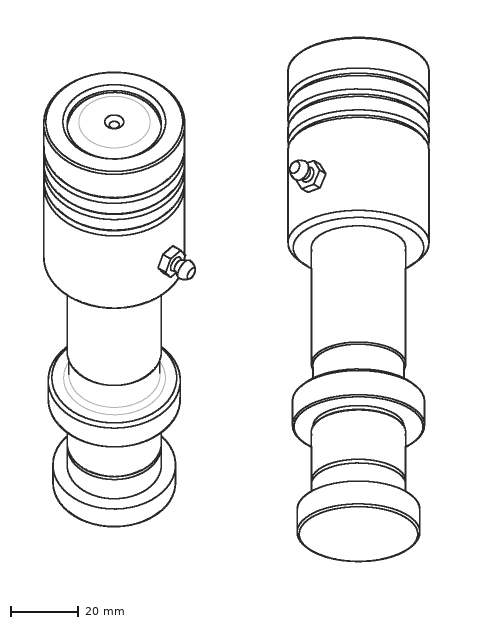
import cadquery as cq
import math

TOTAL_HEIGHT = 156.0
SLEEVE_LENGTH = 59.9
SLEEVE_BOTTOM = TOTAL_HEIGHT - SLEEVE_LENGTH

PILLAR_RADIUS = 14.0
PILLAR_TOP_FILLET = 3.5
PILLAR_BOTTOM = 16.5
PILLAR_BOTTOM_CHAMFER = 1.2
NECK_RADIUS = 13.5
NECK_TOP = 56.6
NECK_BOTTOM = 34.8
NECK_STEP = PILLAR_RADIUS - NECK_RADIUS
COLLAR_RADIUS = 19.7
COLLAR_TOP = 45.7
COLLAR_BOTTOM = 36.0
COLLAR_TOP_CHAMFER = 1.1
COLLAR_BOTTOM_CHAMFER = 0.5
COLLAR_ROOT_FILLET = 1.5

CENTRE_MOUTH_RADIUS = 2.8
CENTRE_DRILL_RADIUS = 1.48
CENTRE_HOLE_DEPTH = 4.7
COUNTERSINK_HALF_ANGLE = math.radians(45)
DRILL_TIP_HALF_ANGLE = math.radians(59)

SLEEVE_DIAMETER = 42.0
SLEEVE_RADIUS = SLEEVE_DIAMETER / 2
SLEEVE_TOP_CHAMFER = 0.6
SLEEVE_BOTTOM_CHAMFER = 1.5
BORE_CHAMFER = 1.2
GROOVE_HALF_WIDTH = 1.2
GROOVE_DEPTH = 1.0
GROOVE_COUNT = 3
GROOVE_PITCH = 7.0
FIRST_GROOVE_BELOW_TOP = 11.9

BUTTON_RADIUS = PILLAR_RADIUS
BUTTON_FLANGE_RADIUS = 18.3
BUTTON_FLANGE_HEIGHT = 8.3
BUTTON_CHAMFER = 0.6

NIPPLE_HEIGHT = 110.9
NIPPLE_ANGLE = -15.0
STEM_RADIUS = 3.0
STEM_LENGTH = 4.7
HEX_ACROSS_FLATS = 8.0
HEX_START = 20.9
HEX_END = 23.9
SHOULDER_RADIUS = 2.3
WAIST_RADIUS = 1.9
WAIST_POSITION = 25.0
HEAD_RADIUS = 3.1
HEAD_POSITION = 27.3
TIP_RADIUS = 1.9
TIP_END = 30.0
HEAD_BULGE = 0.3


def revolve_about_z(profile):
    """Turn a closed (radius, height) profile around the Z axis."""
    return profile.close().revolve(360, (0, 0, 0), (0, 1, 0))


def profile_on_axis(bottom):
    """Start a (radius, height) profile at the given height on the Z axis."""
    return cq.Workplane("XZ").moveTo(0, bottom)


def make_centre_hole():
    """Countersunk blind hole on the pillar axis, with a conical drill tip."""
    countersink_depth = (CENTRE_MOUTH_RADIUS - CENTRE_DRILL_RADIUS) / math.tan(COUNTERSINK_HALF_ANGLE)
    drill_bottom = TOTAL_HEIGHT - CENTRE_HOLE_DEPTH
    tip_depth = CENTRE_DRILL_RADIUS / math.tan(DRILL_TIP_HALF_ANGLE)
    profile = (
        profile_on_axis(drill_bottom - tip_depth)
        .lineTo(CENTRE_DRILL_RADIUS, drill_bottom)
        .lineTo(CENTRE_DRILL_RADIUS, TOTAL_HEIGHT - countersink_depth)
        .lineTo(CENTRE_MOUTH_RADIUS, TOTAL_HEIGHT)
        .lineTo(0, TOTAL_HEIGHT)
    )
    return revolve_about_z(profile)


def make_pillar():
    """Pillar with a rounded top, a relieved neck and a collar."""
    fillet_end = NECK_RADIUS + COLLAR_ROOT_FILLET
    profile = (
        profile_on_axis(PILLAR_BOTTOM)
        .lineTo(PILLAR_RADIUS - PILLAR_BOTTOM_CHAMFER, PILLAR_BOTTOM)
        .lineTo(PILLAR_RADIUS, PILLAR_BOTTOM + PILLAR_BOTTOM_CHAMFER)
        .lineTo(PILLAR_RADIUS, NECK_BOTTOM - NECK_STEP)
        .lineTo(NECK_RADIUS, NECK_BOTTOM)
        .lineTo(NECK_RADIUS, COLLAR_BOTTOM)
        .lineTo(COLLAR_RADIUS - COLLAR_BOTTOM_CHAMFER, COLLAR_BOTTOM)
        .lineTo(COLLAR_RADIUS, COLLAR_BOTTOM + COLLAR_BOTTOM_CHAMFER)
        .lineTo(COLLAR_RADIUS, COLLAR_TOP - COLLAR_TOP_CHAMFER)
        .lineTo(COLLAR_RADIUS - COLLAR_TOP_CHAMFER, COLLAR_TOP)
        .lineTo(fillet_end, COLLAR_TOP)
        .radiusArc((NECK_RADIUS, COLLAR_TOP + COLLAR_ROOT_FILLET), COLLAR_ROOT_FILLET)
        .lineTo(NECK_RADIUS, NECK_TOP)
        .lineTo(PILLAR_RADIUS, NECK_TOP + NECK_STEP)
        .lineTo(PILLAR_RADIUS, TOTAL_HEIGHT - PILLAR_TOP_FILLET)
        .radiusArc((PILLAR_RADIUS - PILLAR_TOP_FILLET, TOTAL_HEIGHT), -PILLAR_TOP_FILLET)
        .lineTo(0, TOTAL_HEIGHT)
    )
    return revolve_about_z(profile).cut(make_centre_hole())


def make_groove(height):
    """V-shaped ring that cuts a groove around the sleeve at the given height."""
    profile = (
        cq.Workplane("XZ")
        .moveTo(SLEEVE_RADIUS, height - GROOVE_HALF_WIDTH)
        .lineTo(SLEEVE_RADIUS - GROOVE_DEPTH, height)
        .lineTo(SLEEVE_RADIUS, height + GROOVE_HALF_WIDTH)
    )
    return revolve_about_z(profile)


def nipple_plane(distance):
    """Plane across the nipple axis, at the given distance from the sleeve axis."""
    angle = math.radians(NIPPLE_ANGLE)
    outward = (math.cos(angle), math.sin(angle), 0)
    origin = (distance * outward[0], distance * outward[1], NIPPLE_HEIGHT)
    return cq.Plane(origin=origin, xDir=(0, 0, 1), normal=outward)


def make_nipple_base():
    """Stem and hexagon of the nipple, which also shape its seat in the sleeve; two flats face up and down."""
    across_corners = HEX_ACROSS_FLATS / math.cos(math.pi / 6)
    stem = (
        cq.Workplane(nipple_plane(HEX_START - STEM_LENGTH))
        .circle(STEM_RADIUS)
        .extrude(STEM_LENGTH)
    )
    hexagon = (
        cq.Workplane(nipple_plane(HEX_START))
        .transformed(rotate=(0, 0, 90))
        .polygon(6, across_corners)
        .extrude(HEX_END - HEX_START)
    )
    return hexagon.union(stem)


def make_sleeve():
    """Bored sleeve with three V grooves, chamfered ends and a blind seat for the nipple."""
    profile = (
        cq.Workplane("XZ")
        .moveTo(PILLAR_RADIUS, SLEEVE_BOTTOM)
        .lineTo(SLEEVE_RADIUS - SLEEVE_BOTTOM_CHAMFER, SLEEVE_BOTTOM)
        .lineTo(SLEEVE_RADIUS, SLEEVE_BOTTOM + SLEEVE_BOTTOM_CHAMFER)
        .lineTo(SLEEVE_RADIUS, TOTAL_HEIGHT - SLEEVE_TOP_CHAMFER)
        .lineTo(SLEEVE_RADIUS - SLEEVE_TOP_CHAMFER, TOTAL_HEIGHT)
        .lineTo(PILLAR_RADIUS + BORE_CHAMFER, TOTAL_HEIGHT)
        .lineTo(PILLAR_RADIUS, TOTAL_HEIGHT - BORE_CHAMFER)
    )
    body = revolve_about_z(profile)
    first_groove = TOTAL_HEIGHT - FIRST_GROOVE_BELOW_TOP
    for index in range(GROOVE_COUNT):
        body = body.cut(make_groove(first_groove - index * GROOVE_PITCH))
    return body.cut(make_nipple_base())


def make_button():
    """Flanged button that closes the lower end of the pillar."""
    profile = (
        profile_on_axis(0)
        .lineTo(BUTTON_FLANGE_RADIUS - BUTTON_CHAMFER, 0)
        .lineTo(BUTTON_FLANGE_RADIUS, BUTTON_CHAMFER)
        .lineTo(BUTTON_FLANGE_RADIUS, BUTTON_FLANGE_HEIGHT)
        .lineTo(BUTTON_RADIUS, BUTTON_FLANGE_HEIGHT)
        .lineTo(BUTTON_RADIUS, PILLAR_BOTTOM)
        .lineTo(0, PILLAR_BOTTOM)
    )
    return revolve_about_z(profile)


def make_nipple_head():
    """Turned outer end of the nipple: shoulder, waist and rounded head."""
    cross_plane = nipple_plane(0)
    axial_plane = cq.Plane(origin=cross_plane.origin, xDir=cross_plane.zDir, normal=cross_plane.yDir)
    bulge_point = (
        (HEAD_POSITION + TIP_END) / 2,
        (HEAD_RADIUS + TIP_RADIUS) / 2 + HEAD_BULGE,
    )
    return (
        cq.Workplane(axial_plane)
        .moveTo(HEX_END, 0)
        .lineTo(HEX_END, SHOULDER_RADIUS)
        .lineTo(WAIST_POSITION, WAIST_RADIUS)
        .lineTo(HEAD_POSITION, HEAD_RADIUS)
        .threePointArc(bulge_point, (TIP_END, TIP_RADIUS))
        .lineTo(TIP_END, 0)
        .close()
        .revolve(360, (0, 0, 0), (1, 0, 0))
    )


def make_nipple():
    """Grease nipple: stem and hexagon seated in the sleeve, with the turned head outside."""
    return make_nipple_base().union(make_nipple_head())


pillar = make_pillar()
sleeve = make_sleeve()
button = make_button()
nipple = make_nipple()

bodies = [pillar, sleeve, button, nipple]
result = cq.Compound.makeCompound([body.solids().val() for body in bodies])